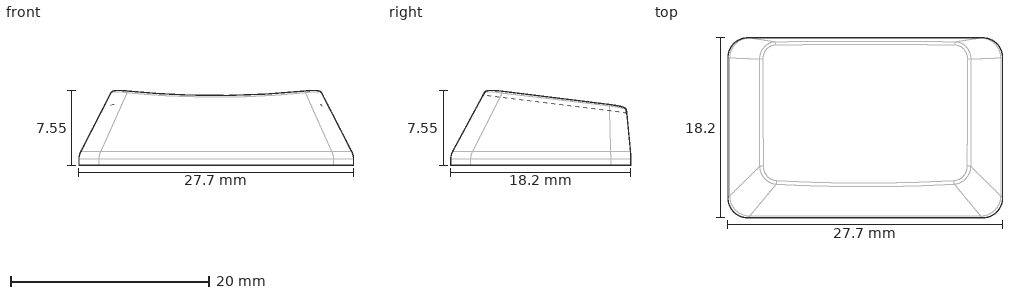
import cadquery as cq
import math

length = 27.7
width = 18.16
base_corner_radius = 2.02
upright_height = 0.6
blend_top_z = 1.38
side_inset = 0.2
back_inset = 0.03

top_length = 21.05
top_front_y = -5.48
top_back_y = 8.6
top_front_z = 7.7
top_back_z = 5.95
top_corner_radius = 1.72
top_edge_radius = 0.35

dish_depth = 0.66
dish_radius = ((top_length / 2) ** 2 + dish_depth ** 2) / (2 * dish_depth)
dish_overrun = 8.3

top_run = top_back_y - top_front_y
top_drop = top_front_z - top_back_z
top_width = math.hypot(top_run, top_drop)
top_plane = cq.Plane(
    origin=(0, (top_front_y + top_back_y) / 2, (top_front_z + top_back_z) / 2),
    xDir=(1, 0, 0),
    normal=(0, top_drop, top_run),
)


def rounded_outline(plane, size_x, size_y, radius):
    """Return a closed wire with rounded corners, centred on the plane."""
    sketch = cq.Sketch().rect(size_x, size_y).vertices().fillet(radius)
    return sketch.reset().faces().val().outerWire().moved(plane.location)


def skirt_outline(z, inset_share):
    """Return the skirt's outline at height z, drawn in by a share of the full insets."""
    front_y = -width / 2 + inset_share * side_inset
    back_y = width / 2 - inset_share * back_inset
    return rounded_outline(
        cq.Plane(origin=(0, (front_y + back_y) / 2, z)),
        length - 2 * inset_share * side_inset,
        back_y - front_y,
        base_corner_radius,
    )


def make_upright_band():
    outline = skirt_outline(0, 0)
    return cq.Workplane(cq.Solid.extrudeLinear(outline, [], cq.Vector(0, 0, upright_height)))


def make_curved_band():
    """The inset grows with the square of height, so the band starts upright."""
    middle_z = (upright_height + blend_top_z) / 2
    outlines = [
        skirt_outline(upright_height, 0),
        skirt_outline(middle_z, 0.25),
        skirt_outline(blend_top_z, 1),
    ]
    return cq.Workplane(cq.Solid.makeLoft(outlines))


def make_sloping_walls():
    """Ruled walls from the skirt to the tilted top face."""
    lower = skirt_outline(blend_top_z, 1)
    upper = rounded_outline(top_plane, top_length, top_width, top_corner_radius)
    return cq.Workplane(cq.Solid.makeLoft([lower, upper], True))


def make_dish_cutter():
    """Cylinder that touches both long side edges of the top and sags between them."""
    cutter_length = top_width + 2 * dish_overrun
    start = top_plane.toWorldCoords((0, -cutter_length / 2, dish_radius - dish_depth))
    return cq.Workplane(cq.Solid.makeCylinder(dish_radius, cutter_length, start, top_plane.yDir))


dished_body = make_sloping_walls().cut(make_dish_cutter())
dish_face = dished_body.faces(cq.selectors.NearestToPointSelector(top_plane.origin.toTuple()))
upper_body = dish_face.edges().fillet(top_edge_radius)
result = make_upright_band().union(make_curved_band()).union(upper_body)